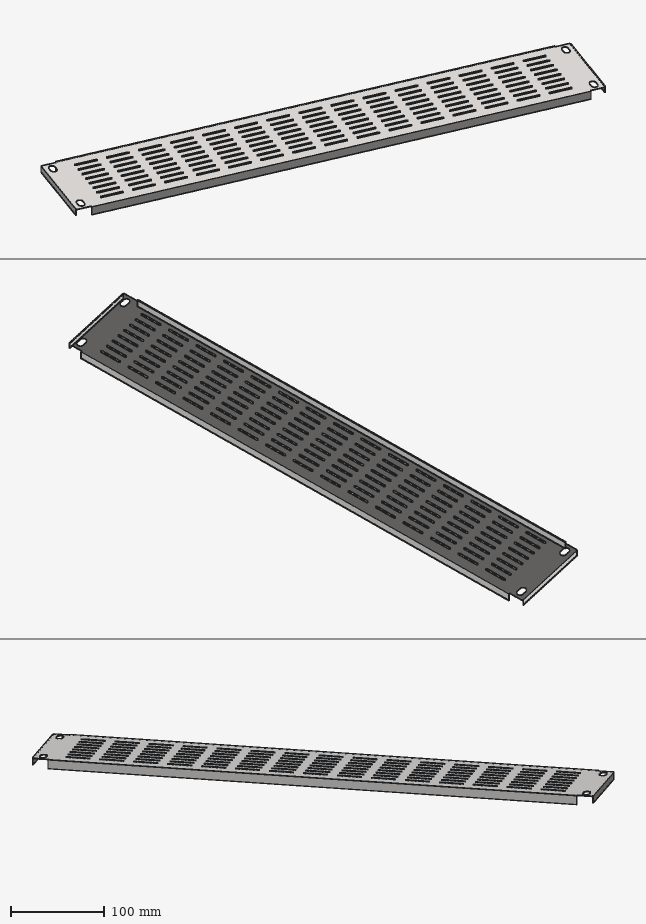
import cadquery as cq

length = 620.0
width = 99.0
height = 10.5
sheet = 1.0

side_flange_length = 584.0
end_width = 95.5
end_flange_width = 93.5
end_flange_height = 8.0

slot_rows = 15
slot_columns = 8
row_span = 525.0
row_pitch = row_span / (slot_rows - 1)
column_span = 70.0
column_pitch = column_span / (slot_columns - 1)
slot_length = 26.5
slot_width = 2.35

mount_spacing_x = 75.0
mount_spacing_y = 600.0
mount_length = 12.5
mount_width = 7.5


def box_below_top(size_x, size_y, depth, x=0, y=0):
    """Box centred on (x, y) that hangs down from the top face at z = height."""
    return cq.Workplane("XY").box(size_x, size_y, depth).translate((x, y, height - depth / 2))


def top_sheet():
    """Flat sheet, full width along the side flanges and narrower towards the ends."""
    full_width_part = box_below_top(width, side_flange_length, sheet)
    tongue_length = length - 2 * sheet
    end_tongues = box_below_top(end_width, tongue_length, sheet)
    return full_width_part.union(end_tongues)


def flanges():
    """Two long side flanges, and two end flanges butted against the narrow tongues."""
    side_x = (width - sheet) / 2
    end_y = (length - sheet) / 2
    body = cq.Workplane("XY")
    for side in (-1, 1):
        body = body.union(box_below_top(sheet, side_flange_length, height, x=side * side_x))
        body = body.union(box_below_top(end_flange_width, sheet, end_flange_height, y=side * end_y))
    return body


def ventilation_slots():
    return (
        cq.Workplane("XY", origin=(0, 0, height - sheet))
        .rarray(column_pitch, row_pitch, slot_columns, slot_rows)
        .slot2D(slot_length, slot_width, 90)
        .extrude(sheet)
    )


def mounting_slots():
    return (
        cq.Workplane("XY", origin=(0, 0, height - sheet))
        .rarray(mount_spacing_x, mount_spacing_y, 2, 2)
        .slot2D(mount_length, mount_width)
        .extrude(sheet)
    )


result = top_sheet().union(flanges()).cut(ventilation_slots()).cut(mounting_slots())